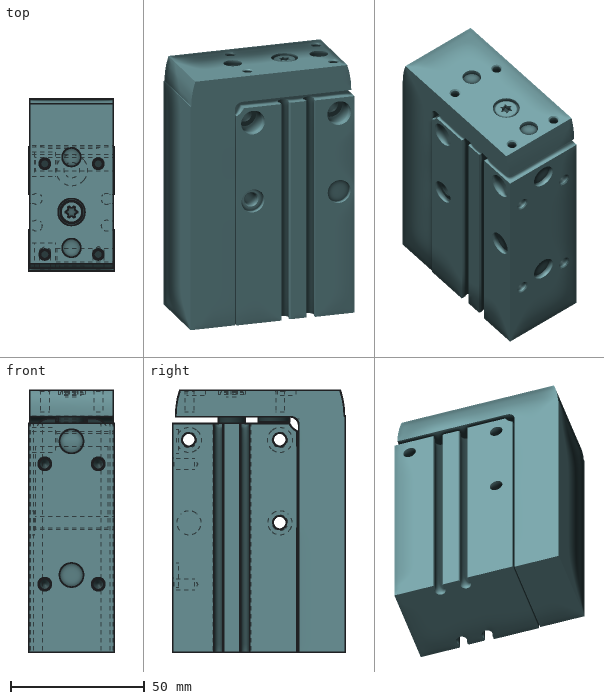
import cadquery as cq
import math


housing_width = 32.0
housing_depth = 46.5
housing_height = 85.6
corner_leg = 2.8
corner_radius = 5.9

slot_pitch = 10.0
slots_middle_y = 22.05
slot_neck_width = 3.3
slot_neck_depth = 2.5
slot_bore_diameter = 4.1
slot_chamfer = 0.3
band_sink = 0.4

side_hole_front_y = 6.0
side_hole_rear_y = 40.0
side_hole_upper_z = 79.5
side_hole_lower_z = 48.5
side_hole_diameter = 4.9
side_hole_mouth_diameter = 5.8
deep_bore_diameter = 9.3
shallow_bore_diameter = 9.0
deep_bore_depth = 10.0
shallow_bore_depth = 2.1

thread_half_pitch_x = 10.0
front_thread_lower_z = 25.5
front_thread_pitch = 45.0
front_thread_diameter = 4.1
front_thread_mouth = 4.9
front_thread_depth = 8.0
drill_point_angle = 118.0
front_bore_lower_z = 28.9
front_bore_pitch = 50.0

pad_bottom_z = 46.55
pad_top_z = 77.1
pad_width = 27.0

overall_height = 98.0
slide_width = 31.4
slide_front_y = 1.1
slide_inner_y = 47.0
slide_rear_y = 64.5
slide_rear_step = 0.3
plate_underside_z = 88.0
nose_start_z = 88.4
nose_radius = 30.0
inner_fillet = 3.0

relief_top_z = 87.3
relief_height = 11.8
relief_corner_radius = 5.0

rod_y = 22.05
rod_diameter = 10.0
screw_bore_diameter = 10.1
screw_bore_depth = 1.5
screw_head_diameter = 8.5
screw_head_height = 1.0
screw_head_chamfer = 0.34
torx_diameter = 4.5
torx_lobes = 6
torx_valley_radius = 1.6
torx_scallop_radius = 1.0
torx_depth = 2.0

bumper_y = 37.8
bumper_diameter = 11.8
bumper_bottom_z = 86.1
nub_diameter = 5.8
nub_bottom_z = 85.8

top_thread_front_y = 6.2
top_bore_front_y = 8.6
top_hole_pitch = 33.9
top_thread_diameter = 3.2
top_thread_mouth = 4.1
top_thread_depth = 8.0
top_bore_diameter = 7.0
top_bore_depth = 2.0


def cylinder(diameter, length, base, direction):
    """Solid cylinder that starts at a base point and runs along a direction."""
    solid = cq.Solid.makeCylinder(diameter / 2, length, cq.Vector(*base), cq.Vector(*direction))
    return cq.Workplane(obj=solid)


def cone(base_diameter, tip_diameter, length, base, direction):
    """Solid cone that starts at a base point and runs along a direction."""
    start = cq.Vector(*base)
    solid = cq.Solid.makeCone(base_diameter / 2, tip_diameter / 2, length, start, cq.Vector(*direction))
    return cq.Workplane(obj=solid)


def box(x_size, y_range, z_range):
    """Block centred on X = 0."""
    y_start, y_end = y_range
    z_start, z_end = z_range
    return (
        cq.Workplane("XY")
        .box(x_size, y_end - y_start, z_end - z_start, centered=(True, False, False))
        .translate((0, y_start, z_start))
    )


def threaded_hole(diameter, mouth_diameter, depth, base, direction):
    """Cutter for a hole with a 45 degree mouth chamfer."""
    mouth = cone(mouth_diameter, diameter, (mouth_diameter - diameter) / 2, base, direction)
    return cylinder(diameter, depth, base, direction).union(mouth)


def housing_block():
    return (
        cq.Workplane("YZ")
        .lineTo(housing_depth, 0)
        .lineTo(housing_depth, housing_height - corner_leg)
        .radiusArc((housing_depth - corner_leg, housing_height), corner_radius)
        .lineTo(0, housing_height)
        .close()
        .extrude(housing_width / 2, both=True)
    )


def sensor_slot(side, slot_y):
    """Cutter for one keyhole slot along Z; side is -1 or 1 for the -X or +X face."""
    face_x = housing_width / 2 - band_sink
    neck = slot_neck_width / 2
    band_edge = 1 if slot_y < slots_middle_y else -1
    throat = (
        cq.Workplane("XY")
        .moveTo(housing_width / 2, slot_y - band_edge * neck)
        .lineTo(face_x - slot_neck_depth, slot_y - band_edge * neck)
        .lineTo(face_x - slot_neck_depth, slot_y + band_edge * neck)
        .lineTo(face_x - slot_chamfer, slot_y + band_edge * neck)
        .lineTo(face_x, slot_y + band_edge * (neck + slot_chamfer))
        .lineTo(housing_width / 2, slot_y + band_edge * (neck + slot_chamfer))
        .close()
        .extrude(housing_height)
    )
    bore = cylinder(slot_bore_diameter, housing_height, (face_x - slot_neck_depth, slot_y, 0), (0, 0, 1))
    slot = throat.union(bore)
    return slot if side > 0 else slot.mirror("YZ")


def sunk_band(side):
    """Cutter for the strip of the side face between the two slots."""
    y_range = (slots_middle_y - slot_pitch / 2, slots_middle_y + slot_pitch / 2)
    band = box(band_sink, y_range, (0, housing_height))
    return band.translate((side * (housing_width - band_sink) / 2, 0, 0))


def side_hole(y, z, bore_diameter, bore_depth):
    """Cutter for a stepped hole right through the housing along X."""
    face_x = -housing_width / 2
    bore = cylinder(bore_diameter, bore_depth, (face_x, y, z), (1, 0, 0))
    hole = threaded_hole(
        side_hole_diameter,
        side_hole_mouth_diameter,
        housing_width - bore_depth,
        (face_x + bore_depth, y, z),
        (1, 0, 0),
    )
    return bore.union(hole)


def front_threaded_hole(x, z):
    """Cutter for a blind hole with a drill point."""
    point_length = front_thread_diameter / 2 / math.tan(math.radians(drill_point_angle / 2))
    hole = threaded_hole(front_thread_diameter, front_thread_mouth, front_thread_depth, (x, 0, z), (0, 1, 0))
    point = cone(front_thread_diameter, 0, point_length, (x, front_thread_depth, z), (0, 1, 0))
    return hole.union(point)


def make_housing():
    body = housing_block()
    body = body.union(box(pad_width, (housing_depth, slide_inner_y), (pad_bottom_z, pad_top_z)))
    for side in (-1, 1):
        body = body.cut(sunk_band(side))
        for slot_offset in (-slot_pitch / 2, slot_pitch / 2):
            body = body.cut(sensor_slot(side, slots_middle_y + slot_offset))

    body = body.cut(side_hole(side_hole_front_y, side_hole_upper_z, deep_bore_diameter, deep_bore_depth))
    body = body.cut(side_hole(side_hole_rear_y, side_hole_upper_z, deep_bore_diameter, deep_bore_depth))
    body = body.cut(side_hole(side_hole_rear_y, side_hole_lower_z, shallow_bore_diameter, shallow_bore_depth))
    blind_bore_base = (-housing_width / 2, side_hole_front_y, side_hole_lower_z)
    body = body.cut(cylinder(shallow_bore_diameter, shallow_bore_depth, blind_bore_base, (1, 0, 0)))

    for step in (0, 1):
        for x in (-thread_half_pitch_x, thread_half_pitch_x):
            body = body.cut(front_threaded_hole(x, front_thread_lower_z + step * front_thread_pitch))
        bore_base = (0, 0, front_bore_lower_z + step * front_bore_pitch)
        body = body.cut(cylinder(shallow_bore_diameter, shallow_bore_depth, bore_base, (0, 1, 0)))
    return body


def slide_block():
    """L-shaped plate and back with arched ends at the top and a fillet in the inner corner."""
    nose_height = overall_height - nose_start_z
    nose_setback = nose_radius - math.sqrt(nose_radius**2 - nose_height**2)
    rear_nose_y = slide_rear_y - slide_rear_step
    return (
        cq.Workplane("YZ")
        .moveTo(slide_inner_y, 0)
        .lineTo(slide_rear_y, 0)
        .lineTo(slide_rear_y, nose_start_z)
        .lineTo(rear_nose_y, nose_start_z)
        .radiusArc((rear_nose_y - nose_setback, overall_height), -nose_radius)
        .lineTo(slide_front_y + nose_setback, overall_height)
        .radiusArc((slide_front_y, nose_start_z), -nose_radius)
        .lineTo(slide_front_y, plate_underside_z)
        .lineTo(slide_inner_y - inner_fillet, plate_underside_z)
        .radiusArc((slide_inner_y, plate_underside_z - inner_fillet), inner_fillet)
        .close()
        .extrude(slide_width / 2, both=True)
    )


def fillet_relief():
    """Cutter that clears the inner fillet flush with the inner face of the back."""
    y_range = (slide_inner_y - inner_fillet, slide_inner_y)
    z_range = (relief_top_z - relief_height, relief_top_z)
    return box(pad_width, y_range, z_range).edges("|Y and >Z").fillet(relief_corner_radius)


def torx_socket():
    socket = cylinder(torx_diameter, torx_depth, (0, 0, -torx_depth), (0, 0, 1))
    scallop_distance = torx_valley_radius + torx_scallop_radius
    for lobe in range(torx_lobes):
        angle = 2 * math.pi * (lobe + 0.5) / torx_lobes
        scallop_base = (scallop_distance * math.cos(angle), scallop_distance * math.sin(angle), -torx_depth)
        socket = socket.cut(cylinder(2 * torx_scallop_radius, torx_depth, scallop_base, (0, 0, 1)))
    return socket


def add_screw(body):
    """Counterbore in the top face with the chamfered head of the rod screw in it."""
    floor_z = overall_height - screw_bore_depth
    head_top_z = floor_z + screw_head_height
    head = cylinder(screw_head_diameter, screw_head_height, (0, rod_y, floor_z), (0, 0, 1))
    head = head.faces(">Z").chamfer(screw_head_chamfer)
    body = body.cut(cylinder(screw_bore_diameter, screw_bore_depth, (0, rod_y, floor_z), (0, 0, 1)))
    return body.union(head).cut(torx_socket().translate((0, rod_y, head_top_z)))


def add_rod_and_bumper(body):
    """Rod and bumper under the plate; the rod ends on the top face of the housing."""
    drop = plate_underside_z - housing_height
    rod = cylinder(rod_diameter, drop, (0, rod_y, housing_height), (0, 0, 1))
    nub = cylinder(nub_diameter, plate_underside_z - nub_bottom_z, (0, bumper_y, nub_bottom_z), (0, 0, 1))
    bumper_height = plate_underside_z - bumper_bottom_z
    bumper = cylinder(bumper_diameter, bumper_height, (0, bumper_y, bumper_bottom_z), (0, 0, 1))
    return body.union(rod).union(bumper).union(nub)


def make_slide():
    body = slide_block().cut(fillet_relief())
    body = add_screw(body)
    body = add_rod_and_bumper(body)
    for step in (0, 1):
        bore_base = (0, top_bore_front_y + step * top_hole_pitch, overall_height)
        body = body.cut(cylinder(top_bore_diameter, top_bore_depth, bore_base, (0, 0, -1)))
        for x in (-thread_half_pitch_x, thread_half_pitch_x):
            base = (x, top_thread_front_y + step * top_hole_pitch, overall_height)
            hole = threaded_hole(top_thread_diameter, top_thread_mouth, top_thread_depth, base, (0, 0, -1))
            body = body.cut(hole)
    return body


housing = make_housing()
slide = make_slide()
result = cq.Compound.makeCompound([housing.val(), slide.val()])